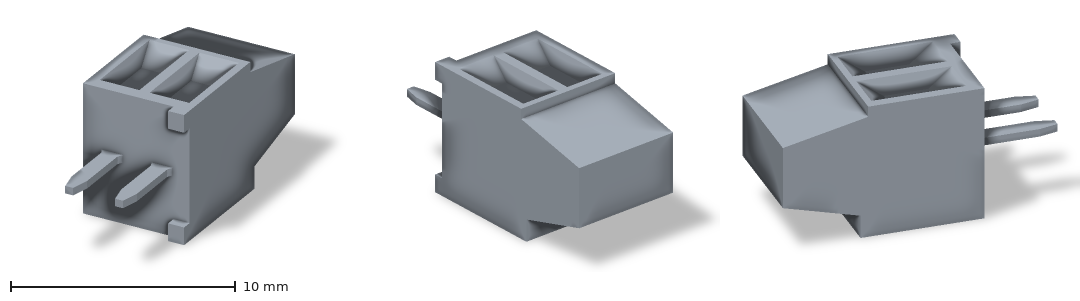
import cadquery as cq

width = 5.45
height = 6.5
length = 13.4
face_y = 3.9
pitch = 2.55
pole_count = 2

upper_step_y = 9.38
lower_step_y = 9.74
upper_step_z = 5.99
lower_step_z = 1.11
rear_top_z = 5.1
rear_bottom_z = 2.1

tab_width = 0.82
tab_height = 0.88
tab_length = 0.5

pocket_x = 1.5
pocket_y = 6.81
pocket_width = 2.02
pocket_length = 4.5
floor_width = 1.5
floor_length = 2.1
pocket_depth = 0.8

pin_x = 1.5
pin_bottom_z = 3.05
pin_thickness = 0.38
root_width = 1.1
blade_width = 0.82
tip_width = 0.4
root_length = 0.27
taper_length = 0.91


def make_housing():
    """Side outline extruded across the full width."""
    outline = [
        (face_y, 0),
        (lower_step_y, 0),
        (lower_step_y, lower_step_z),
        (length, rear_bottom_z),
        (length, rear_top_z),
        (upper_step_y, upper_step_z),
        (upper_step_y, height),
        (face_y, height),
    ]
    return cq.Workplane("YZ").polyline(outline).close().extrude(width)


def make_tab(bottom_z):
    """Standoff flush with the +X side."""
    return (
        cq.Workplane("XY")
        .box(tab_width, tab_length, tab_height, centered=False)
        .translate((width - tab_width, face_y - tab_length, bottom_z))
    )


def make_pocket(center_x):
    """Pocket narrowing from its rim to a flat rectangular floor."""
    return (
        cq.Workplane("XY", origin=(center_x, pocket_y, height))
        .rect(pocket_width, pocket_length)
        .workplane(offset=-pocket_depth)
        .rect(floor_width, floor_length)
        .loft(ruled=True)
    )


def make_pin(center_x):
    """Flat pin with a flared root and a tapered tip."""
    right_side = [
        (root_width / 2, face_y),
        (blade_width / 2, face_y - root_length),
        (blade_width / 2, taper_length),
        (tip_width / 2, 0),
    ]
    left_side = [(-x, y) for x, y in reversed(right_side)]
    return (
        cq.Workplane("XY", origin=(center_x, 0, pin_bottom_z))
        .polyline(right_side + left_side)
        .close()
        .extrude(pin_thickness)
    )


result = make_housing()
for tab_z in (0, height - tab_height):
    result = result.union(make_tab(tab_z))
for pole in range(pole_count):
    result = result.cut(make_pocket(pocket_x + pole * pitch))
    result = result.union(make_pin(pin_x + pole * pitch))